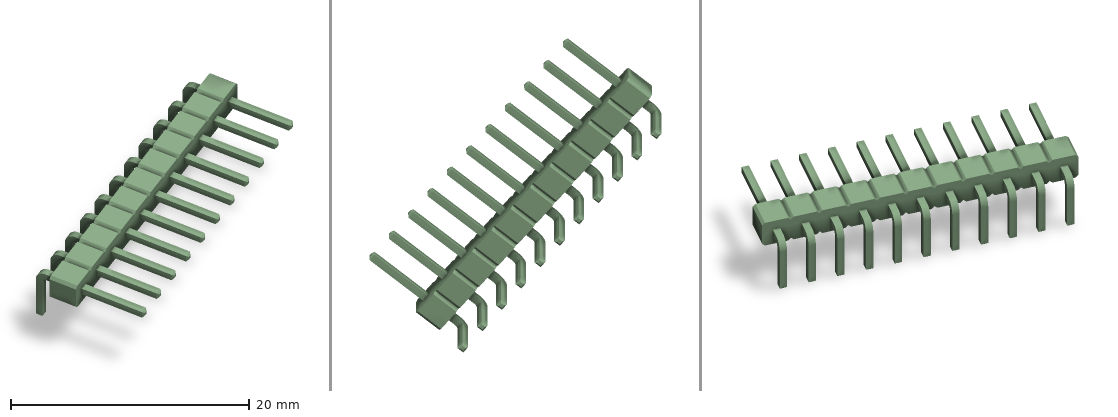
import cadquery as cq

pin_count = 11
row_length = 27.95
pitch = row_length / pin_count

block_size = pitch
block_chamfer = 0.25

pin_width = 0.65
pin_reach = 10.37
total_height = 6.17
leg_to_block = 1.85
bend_inner_radius = pin_width / 2
bend_radius = bend_inner_radius + pin_width / 2
tip_chamfer = 0.17

leg_center_x = -leg_to_block + pin_width / 2
tip_x = pin_reach - leg_to_block
tip_z = block_size / 2 - total_height


def make_block(y):
    """Housing block with chamfered edges running along X."""
    return (
        cq.Workplane("XY")
        .box(block_size, block_size, block_size)
        .edges("|X")
        .chamfer(block_chamfer)
        .translate((block_size / 2, y, 0))
    )


def make_pin(y):
    """Square pin swept down, round the bend and out to +X, with tapered tips."""
    path = (
        cq.Workplane("XZ")
        .moveTo(leg_center_x, tip_z)
        .lineTo(leg_center_x, -bend_radius)
        .radiusArc((leg_center_x + bend_radius, 0), bend_radius)
        .lineTo(tip_x, 0)
    )
    pin = (
        cq.Workplane("XY", origin=(leg_center_x, 0, tip_z))
        .rect(pin_width, pin_width)
        .sweep(path)
    )
    pin = pin.faces("<Z").chamfer(tip_chamfer)
    pin = pin.faces(">X").chamfer(tip_chamfer)
    return pin.translate((0, y, 0))


result = cq.Workplane("XY")
for index in range(pin_count):
    pin_y = (index - (pin_count - 1) / 2) * pitch
    result = result.union(make_block(pin_y)).union(make_pin(pin_y))